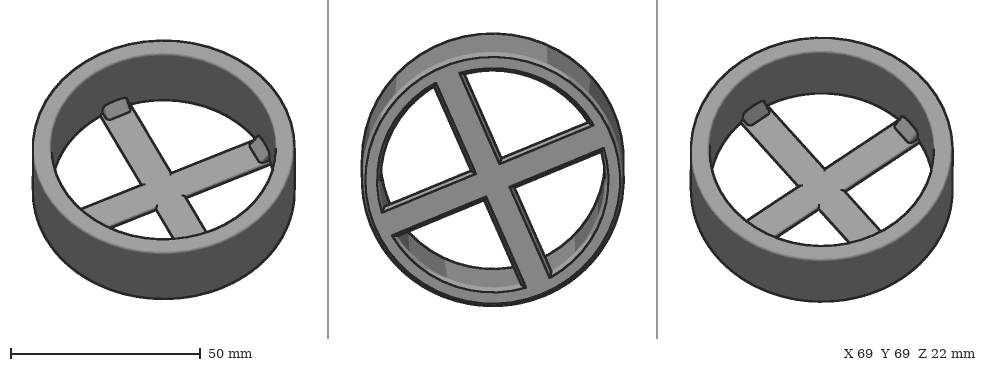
import cadquery as cq
import math

outer_diameter = 69.0
bore_diameter = 59.0
height = 22.0
edge_round = 1.0
base_chamfer = 1.0

arm_width = 8.7
arm_thickness = 2.0
arm_round = (arm_thickness - base_chamfer) / (1 + math.tan(math.radians(22.5)))

wedge_width = arm_width - 2 * arm_round
wedge_run = 3.05
wedge_height = 3.05
wedge_round = 1.0
wall_overlap = 1.4

outer_radius = outer_diameter / 2
bore_radius = bore_diameter / 2
anchor_radius = bore_radius + wall_overlap


def make_ring():
    """Tube with rounded top edges and softened chamfers around both base edges."""
    ring = cq.Workplane("XY").circle(outer_radius).circle(bore_radius).extrude(height)
    ring = ring.faces(">Z").edges().fillet(edge_round)
    ring = ring.faces("<Z").edges().chamfer(base_chamfer)
    chamfer_tops = cq.selectors.BoxSelector(
        (-outer_radius, -outer_radius, base_chamfer / 2),
        (outer_radius, outer_radius, base_chamfer * 3 / 2),
    )
    return ring.edges(chamfer_tops).fillet(edge_round)


def make_cross():
    """Two crossing arms, each side rounded by one arc from the top to the base chamfer."""
    half_width = arm_width / 2
    round_center_y = half_width - arm_round
    round_center_z = arm_thickness - arm_round
    diagonal = arm_round * math.sqrt(0.5)
    half_profile = (
        cq.Workplane("YZ", origin=(-anchor_radius, 0, 0))
        .moveTo(0, 0)
        .lineTo(half_width - base_chamfer, 0)
        .lineTo(round_center_y + diagonal, round_center_z - diagonal)
        .threePointArc(
            (round_center_y + diagonal, round_center_z + diagonal),
            (round_center_y, arm_thickness),
        )
        .lineTo(0, arm_thickness)
        .close()
    )
    half_arm = half_profile.extrude(2 * anchor_radius)
    arm_x = half_arm.union(half_arm.mirror("XZ"))
    arm_y = arm_x.rotate((0, 0, 0), (0, 0, 1), 90)
    return arm_x.union(arm_y)


def make_wedge():
    """Wedge on the +X arm that rises toward the wall, with rounded sloping edges."""
    toe_radius = bore_radius - wedge_run
    crest = arm_thickness + wedge_height
    profile = [
        (toe_radius, base_chamfer),
        (toe_radius, arm_thickness),
        (bore_radius, crest),
        (anchor_radius, crest),
        (anchor_radius, base_chamfer),
    ]
    wedge = cq.Workplane("XZ").polyline(profile).close().extrude(wedge_width / 2, both=True)
    sloping_edges = cq.selectors.BoxSelector(
        (toe_radius, -wedge_width, arm_thickness), (bore_radius, wedge_width, crest)
    )
    return wedge.edges("not(|X or |Y or |Z)").edges(sloping_edges).fillet(wedge_round)


result = make_ring().union(make_cross())
for quarter in range(4):
    result = result.union(make_wedge().rotate((0, 0, 0), (0, 0, 1), 90 * quarter))